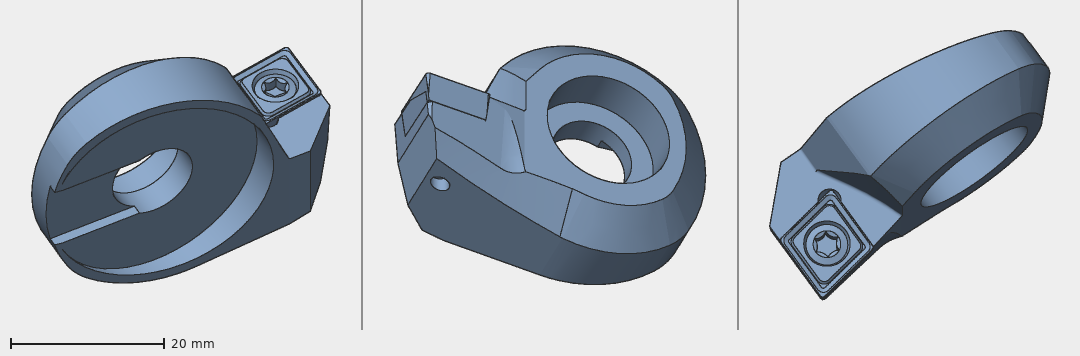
import cadquery as cq
import math


def sine(angle):
    return math.sin(math.radians(angle))


def cosine(angle):
    return math.cos(math.radians(angle))


def tangent(angle):
    return math.tan(math.radians(angle))



disc_radius = 16.55
flank_radius = 20.95
flank_y = -15.38
shoulder_radius = 10.05
upper_tangent_angle = 37.5
lower_tangent_angle = 16.2
bevel = 4.6
bevel_inset = 4.5

bore_radius = 5.55
counterbore_radius = 8.55
counterbore_depth = 6.0
recess_radius = 15.1
recess_floor_x = 10.05
slot_floor_x = 8.65
slot_width = 10.05

arm_back_x = 15.05
arm_end_y = 26.52
arm_root_y = 11.7
arm_front_angle = 12.6
arm_start_y = 5.03
back_slope_y = 17.25
back_slope_angle = 9.15
end_corner_y = 20.32
end_corner_cut = arm_end_y - end_corner_y
arm_top_z = -0.15
end_knee = (25.8, -5.7)
end_foot_y = 23.55
front_inset = 0.15
tip_chamfer = 0.92
front_fillet_y = 14.65
front_fillet_radius = 4.4
arm_bevel_middle = (10.8, 3.2)
arm_bevel_end = (24.3, -0.15)

slope_foot_y = 17.3
slope_angle = 21.8
wall_kink = (7.45, 14.85)
wall_end = (0.0, 11.52)
wall_angle = 30.0
wall_fillet = 0.4

underside_hole = (5.32, 21.5)
underside_hole_radius = 1.25
underside_hole_top_z = -9.2

insert_apothem = 4.76
insert_thickness = 4.0
insert_lean = 10.0
relief_angle = 7.0
nose_radius = 0.4
tilt_along_y = 0.5
tilt_along_x = 1.6
insert_tip_x = -3.0
insert_top_z = 0.2
groove_inset = 0.2
groove_depth = 0.35
groove_run = 0.63
groove_corner_radius = 0.92
plateau_inset = 1.17
plateau_flank_angle = 38.0
plateau_corner_radius = 0.85
corner_relief = (7.2, 18.05)
corner_relief_radius = 1.6
corner_relief_taper = 15.0

seat_radius = 3.038
seat_angle = 26.0
head_depth = 0.63
head_rise = 0.35
dome_radius = 1.8
socket_tip_radius = 1.75
socket_waist_radius = 1.25
socket_depth = 1.25
socket_points = 6
countersink_depth = 0.25
shank_radius = 1.75
screw_end_depth = 5.95

reach = 62.85


def rhombus(apothem, corner_radius, plane_z):
    """Rounded rhombus around the insert middle."""
    half_edge = apothem / cosine(insert_lean)
    shift = apothem * tangent(insert_lean)
    sketch = (
        cq.Sketch()
        .polygon([
            (-half_edge - shift, apothem),
            (half_edge - shift, apothem),
            (half_edge + shift, -apothem),
            (-half_edge + shift, -apothem),
            (-half_edge - shift, apothem),
        ])
        .vertices()
        .fillet(corner_radius)
    )
    return cq.Workplane("XY", origin=(0, 0, plane_z)).placeSketch(sketch)


nose_offset = insert_apothem - nose_radius
nose_center_x = -nose_offset * (1 + sine(insert_lean)) / cosine(insert_lean)
insert_x = insert_tip_x + nose_radius - nose_center_x
insert_y = arm_end_y - insert_apothem


tilted_x_axis = (cosine(tilt_along_x), 0, sine(tilt_along_x))
tilted_normal = (-tangent(tilt_along_x), tangent(tilt_along_y), 1)
seat = cq.Location(cq.Plane((insert_x, insert_y, insert_top_z), tilted_x_axis, tilted_normal))


def seated(body):
    """Move a body from the insert's own axes to its seat on the arm."""
    return body.newObject([solid.moved(seat) for solid in body.solids().vals()])


def insert_block():
    """Insert without its groove and hole."""
    return rhombus(insert_apothem, nose_radius, 0).extrude(-insert_thickness, taper=relief_angle)


def chip_groove():
    groove_angle = math.degrees(math.atan2(groove_run, groove_depth))
    outer = rhombus(insert_apothem - groove_inset, groove_corner_radius, 0).extrude(
        -groove_depth, taper=groove_angle)
    plateau = rhombus(insert_apothem - plateau_inset, plateau_corner_radius, 0).extrude(
        -groove_depth, taper=-plateau_flank_angle)
    return outer.cut(plateau)


def radius_in_seat(depth):
    return seat_radius - depth * tangent(seat_angle)


shank_top_depth = (seat_radius - shank_radius) / tangent(seat_angle)


def turned(points):
    """Solid of revolution about the Z axis from (radius, z) points."""
    return cq.Workplane("XZ").polyline(points).close().revolve(360, (0, 0, 0), (0, 1, 0))


def screw_hole():
    return turned([
        (0, 0),
        (seat_radius, 0),
        (shank_radius, -shank_top_depth),
        (shank_radius, -screw_end_depth),
        (0, -screw_end_depth),
    ])


def star_socket():
    """Six-pointed socket with rounded valleys."""
    step = 360 / socket_points
    outline = cq.Workplane("XY", origin=(0, 0, -socket_depth - head_depth)).moveTo(0, socket_tip_radius)
    for point in range(socket_points):
        valley = 90 + (point + 0.5) * step
        tip = 90 + (point + 1) * step
        outline = outline.threePointArc(
            (socket_waist_radius * cosine(valley), socket_waist_radius * sine(valley)),
            (socket_tip_radius * cosine(tip), socket_tip_radius * sine(tip)),
        )
    return outline.close().extrude(socket_depth + head_depth)


def make_screw():
    dome_z = head_rise - head_depth
    body = turned([
        (0, dome_z),
        (dome_radius, dome_z),
        (radius_in_seat(head_depth), -head_depth),
        (shank_radius, -shank_top_depth),
        (shank_radius, -screw_end_depth),
        (0, -screw_end_depth),
    ])
    countersink = turned([
        (0, dome_z),
        (dome_radius, dome_z),
        (socket_waist_radius, dome_z - countersink_depth),
        (0, dome_z - countersink_depth),
    ])
    return seated(body.cut(star_socket()).cut(countersink))


def make_insert():
    return seated(insert_block().cut(chip_groove()).cut(screw_hole()))


def beveled_disc():
    """Teardrop plate around the bore, beveled along its whole rim."""
    flank_center_y = flank_y + flank_radius
    to_disc = disc_radius - shoulder_radius
    to_flank = flank_radius - shoulder_radius
    shoulder_y = (flank_center_y**2 + to_disc**2 - to_flank**2) / (2 * flank_center_y)
    shoulder_z = math.sqrt(to_disc**2 - shoulder_y**2)
    disc_joint = (shoulder_y * disc_radius / to_disc, shoulder_z * disc_radius / to_disc)
    flank_joint = (
        flank_center_y + (shoulder_y - flank_center_y) * flank_radius / to_flank,
        shoulder_z * flank_radius / to_flank,
    )
    middle_angle = math.degrees(
        math.atan2(disc_joint[1], disc_joint[0])
        + math.atan2(flank_joint[1], flank_joint[0] - flank_center_y)) / 2
    shoulder_middle = (
        shoulder_y + shoulder_radius * cosine(middle_angle),
        shoulder_z + shoulder_radius * sine(middle_angle),
    )
    upper_joint = (disc_radius * cosine(upper_tangent_angle), disc_radius * sine(upper_tangent_angle))
    lower_joint = (disc_radius * sine(lower_tangent_angle), -disc_radius * cosine(lower_tangent_angle))
    lower_normal = lower_tangent_angle - 90
    half_spread = (upper_tangent_angle - lower_normal) / 2
    bisector = (upper_tangent_angle + lower_normal) / 2
    apex_distance = disc_radius / cosine(half_spread)
    apex = (apex_distance * cosine(bisector), apex_distance * sine(bisector))
    outline = (
        cq.Workplane("YZ", origin=(bevel, 0, 0))
        .moveTo(*apex)
        .lineTo(*upper_joint)
        .threePointArc((0, disc_radius), disc_joint)
        .threePointArc(shoulder_middle, flank_joint)
        .threePointArc((flank_y, 0), (flank_joint[0], -flank_joint[1]))
        .threePointArc((shoulder_middle[0], -shoulder_middle[1]), (disc_joint[0], -disc_joint[1]))
        .threePointArc((0, -disc_radius), lower_joint)
        .close()
    )
    rim = outline.extrude(arm_back_x - bevel)
    bevel_angle = math.degrees(math.atan2(bevel_inset, bevel))
    front = outline.toPending().extrude(-bevel, taper=bevel_angle)
    return rim.union(front)


def space_beside_disc():
    """Space on the +Y side of the disc: behind the upright wall and above the sloping side."""
    far_x = wall_kink[0] + reach * cosine(wall_angle)
    far_y = wall_kink[1] + reach * sine(wall_angle)
    beyond_wall = (
        cq.Workplane("XY", origin=(0, 0, -reach))
        .moveTo(far_x, far_y)
        .lineTo(*wall_kink)
        .tangentArcPoint(wall_end, relative=False)
        .lineTo(-reach, wall_end[1])
        .lineTo(-reach, far_y)
        .close()
        .extrude(2 * reach)
    )
    lean = reach * tangent(slope_angle)
    above_slope = (
        cq.Workplane("YZ", origin=(-reach, 0, 0))
        .polyline([
            (slope_foot_y + lean, -reach),
            (slope_foot_y - lean, reach),
            (slope_foot_y + reach, reach),
            (slope_foot_y + reach, -reach),
        ])
        .close()
        .extrude(2 * reach)
    )
    return beyond_wall.union(above_slope)


def lower_side_z(y):
    return y * tangent(lower_tangent_angle) - disc_radius / cosine(lower_tangent_angle)


def arm_side_profile():
    """Side shape of the arm, from its end to its straight lower side, open towards its top."""
    return (
        cq.Workplane("YZ", origin=(-reach, 0, 0))
        .polyline([
            (arm_start_y, disc_radius),
            (arm_end_y, disc_radius),
            (arm_end_y, 0),
            end_knee,
            (end_foot_y, lower_side_z(end_foot_y)),
            (arm_start_y, lower_side_z(arm_start_y)),
        ])
        .close()
        .extrude(2 * reach)
    )


def space_below_arm_top():
    """Space below the arm top, which tilts the same way as the insert."""
    top_plane = cq.Plane((0, back_slope_y, arm_top_z), tilted_x_axis, tilted_normal)
    return cq.Workplane(top_plane).rect(2 * reach, 2 * reach).extrude(-reach)


def arm_plan():
    """Arm as seen along Z."""
    front_x = -(arm_end_y - arm_root_y) * tangent(arm_front_angle)
    return (
        cq.Workplane("XY", origin=(0, 0, -reach))
        .polyline([
            (0, arm_start_y),
            (0, arm_root_y),
            (front_x, arm_end_y),
            (arm_back_x - end_corner_cut, arm_end_y),
            (arm_back_x, end_corner_y),
            (arm_back_x, arm_start_y),
        ])
        .close()
        .extrude(2 * reach)
    )


def arm_bevel_envelope():
    """Space above the curved 45 degree bevel of the lower side.

    The bevel is an outline on the lower side, extruded forwards and upwards at 45 degrees.
    """
    rise = sine(lower_tangent_angle)
    run = cosine(lower_tangent_angle)
    plane = cq.Plane(
        origin=(0, disc_radius * rise, -disc_radius * run),
        xDir=(0, run, rise),
        normal=(-1, -rise, run),
    )
    shrink = -cosine(45)
    return (
        cq.Workplane(plane)
        .moveTo(-reach, bevel * shrink)
        .lineTo(0, bevel * shrink)
        .threePointArc(
            (arm_bevel_middle[0], arm_bevel_middle[1] * shrink),
            (arm_bevel_end[0], arm_bevel_end[1] * shrink),
        )
        .lineTo(reach, arm_bevel_end[1] * shrink)
        .lineTo(reach, -reach)
        .lineTo(-reach, -reach)
        .close()
        .extrude(reach, both=True)
    )


def arm_front_envelope():
    """Space behind the leaning front face, with its chamfered tip and its curve out to the disc."""
    front_tip_x = insert_x - insert_apothem * (1 / cosine(insert_lean) + tangent(insert_lean)) + front_inset
    slope = tangent(insert_lean)
    fillet_x = front_tip_x + (arm_end_y - front_fillet_y) * slope
    center_x = fillet_x - front_fillet_radius * cosine(insert_lean)
    center_y = front_fillet_y - front_fillet_radius * sine(insert_lean)
    curve_middle = (
        center_x + front_fillet_radius * cosine(45 - insert_lean / 2),
        center_y - front_fillet_radius * sine(45 - insert_lean / 2),
    )
    outline = (
        cq.Workplane("XY", origin=(0, 0, insert_top_z))
        .moveTo(front_tip_x + tip_chamfer, arm_end_y)
        .lineTo(front_tip_x + tip_chamfer * slope, arm_end_y - tip_chamfer)
        .lineTo(fillet_x, front_fillet_y)
        .threePointArc(curve_middle, (center_x, center_y - front_fillet_radius))
        .lineTo(-reach, center_y - front_fillet_radius)
        .lineTo(-reach, -reach)
        .lineTo(reach, -reach)
        .lineTo(reach, arm_end_y)
        .close()
    )
    above = outline.extrude(disc_radius)
    below = outline.toPending().extrude(-disc_radius, taper=relief_angle)
    return above.union(below)


def make_arm():
    return (
        arm_side_profile()
        .intersect(space_below_arm_top())
        .intersect(arm_plan())
        .intersect(arm_bevel_envelope())
        .intersect(arm_front_envelope())
    )


def sloping_back():
    """Space behind the plane that tapers the disc towards -Y."""
    run = reach * tangent(back_slope_angle)
    return (
        cq.Workplane("XY", origin=(0, 0, -reach))
        .polyline([
            (arm_back_x, back_slope_y),
            (arm_back_x - run, back_slope_y - reach),
            (arm_back_x + reach, back_slope_y - reach),
            (arm_back_x + reach, back_slope_y),
        ])
        .close()
        .extrude(2 * reach)
    )


def disc_openings():
    """Stepped bore, back recess and the key slot that runs from the rim to the bore."""
    bore = cq.Workplane("YZ").circle(bore_radius).extrude(arm_back_x)
    counterbore = cq.Workplane("YZ").circle(counterbore_radius).extrude(counterbore_depth)
    recess = cq.Workplane("YZ", origin=(recess_floor_x, 0, 0)).circle(recess_radius).extrude(reach)
    slot = (
        cq.Workplane("YZ", origin=(slot_floor_x, flank_y, 0))
        .rect(-2 * flank_y, slot_width)
        .extrude(reach)
    )
    return bore.union(counterbore).union(recess).union(slot)


def insert_pocket():
    """Seat of the insert with its corner clearance and the screw hole."""
    clearance = (
        cq.Workplane("XY")
        .center(corner_relief[0] - insert_x, corner_relief[1] - insert_y)
        .circle(corner_relief_radius)
        .extrude(-insert_thickness, taper=corner_relief_taper)
    )
    return seated(insert_block().union(clearance).union(screw_hole()))


def underside_bore():
    return (
        cq.Workplane("XY", origin=(0, 0, underside_hole_top_z))
        .center(*underside_hole)
        .circle(underside_hole_radius)
        .extrude(-reach)
    )


def make_holder():
    holder = beveled_disc().cut(space_beside_disc()).union(make_arm())
    foot = cq.selectors.BoxSelector(
        (0.4, wall_end[1], arm_top_z - 0.4), (arm_back_x, back_slope_y + 0.4, arm_top_z + 0.85))
    holder = holder.edges(foot).fillet(wall_fillet)
    return (
        holder.cut(sloping_back())
        .cut(disc_openings())
        .cut(insert_pocket())
        .cut(underside_bore())
    )


holder = make_holder()
insert = make_insert()
screw = make_screw()

result = cq.Compound.makeCompound([holder.val(), insert.val(), screw.val()])